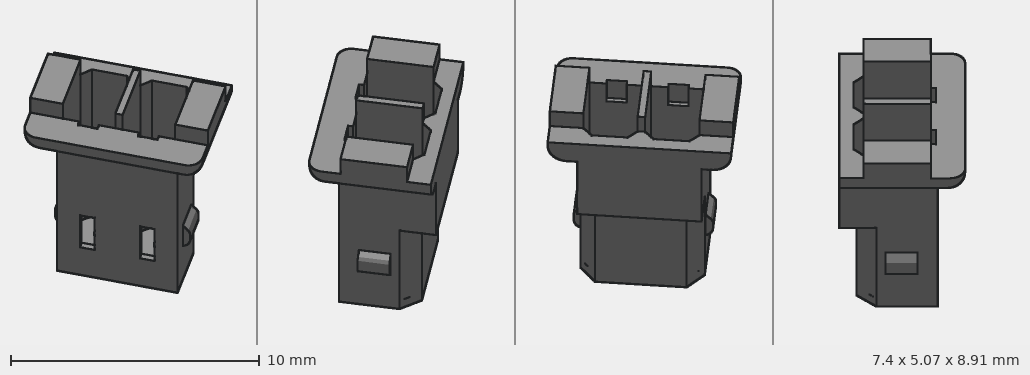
import cadquery as cq

TOTAL_HEIGHT = 8.91
FLANGE_WIDTH = 7.4
FLANGE_DEPTH = 5.07
FLANGE_TOP = 8.11
FLANGE_BOTTOM = 7.14
FLANGE_CORNER_RADIUS = 0.6
FLANGE_EDGE_RADIUS = 0.775

BODY_WIDTH = 5.025
BODY_FRONT = -3.965
STEP_HEIGHT = 4.29
LOWER_BACK = -0.695
LOWER_CHAMFER_X = 0.67
LOWER_CHAMFER_Y = 0.8

DIVIDER_THICKNESS = 0.3
CAVITY_WIDTH = 2.19
CAVITY_FRONT = -3.69
CAVITY_BACK = -0.775
CAVITY_ARC_START = -1.38
CAVITY_FLOOR = 0.4
CAVITY_X = (DIVIDER_THICKNESS + CAVITY_WIDTH) / 2
CAVITY_CENTERS = (-CAVITY_X, CAVITY_X)

MOUTH_BACK = -0.57
MOUTH_CHAMFER_X = 0.37
MOUTH_FLOOR = 4.9
BLOCK_BACK = -0.97

NOTCH_WIDTH = 0.82
NOTCH_DEPTH = 0.205
PIN_HOLE_DIAMETER = 0.61
PIN_HOLE_Y = -1.76
SLOT_WIDTH = 0.615
SLOT_BOTTOM = 1.515
SLOT_TOP = 3.25

LATCH_FRONT = -3.15
LATCH_BACK = -1.85
LATCH_REACH = 0.3
LATCH_BOTTOM = 1.85
LATCH_FLAT_BOTTOM = 2.25
LATCH_FLAT_TOP = 2.52
LATCH_LOWER_RADIUS = 0.42
LATCH_SLOPE_START = 2.75
LATCH_SLOPE_REACH = 0.205
LATCH_TOP = LATCH_SLOPE_START + LATCH_SLOPE_REACH


def block(x_min, x_max, y_min, y_max, z_min, z_max):
    """Box given by its limits along each axis."""
    return cq.Workplane("XY").box(
        x_max - x_min, y_max - y_min, z_max - z_min, centered=False
    ).translate((x_min, y_min, z_min))


def flange():
    """Plate with rounded front corners and a rounded lower rim, flat at the back."""
    half = FLANGE_WIDTH / 2
    plate = block(-half, half, -FLANGE_DEPTH, 0, FLANGE_BOTTOM, FLANGE_TOP)
    plate = plate.edges("|Z and <Y").fillet(FLANGE_CORNER_RADIUS)
    return plate.faces("<Z").edges("not >Y").fillet(FLANGE_EDGE_RADIUS)


def body():
    """Housing with a full upper part and a lower part with chamfered back corners."""
    half = BODY_WIDTH / 2
    upper = block(-half, half, BODY_FRONT, 0, STEP_HEIGHT, FLANGE_TOP)
    chamfer_start = LOWER_BACK - LOWER_CHAMFER_Y
    chamfer_end = half - LOWER_CHAMFER_X
    lower = (
        cq.Workplane("XY")
        .moveTo(-half, BODY_FRONT)
        .lineTo(half, BODY_FRONT)
        .lineTo(half, chamfer_start)
        .lineTo(chamfer_end, LOWER_BACK)
        .lineTo(-chamfer_end, LOWER_BACK)
        .lineTo(-half, chamfer_start)
        .close()
        .extrude(STEP_HEIGHT)
    )
    return upper.union(lower)


def top_block():
    """Raised bar that the cavities split into two end blocks and a divider."""
    half = FLANGE_WIDTH / 2
    return block(-half, half, CAVITY_FRONT, BLOCK_BACK, FLANGE_TOP, TOTAL_HEIGHT)


def latch():
    """Bump on the right side wall: 45 degree slope, flat nose and round underside."""
    wall = BODY_WIDTH / 2
    nose = wall + LATCH_REACH
    profile = (
        cq.Workplane("XZ", origin=(0, LATCH_BACK, 0))
        .moveTo(nose, LATCH_FLAT_BOTTOM)
        .lineTo(nose, LATCH_FLAT_TOP)
        .tangentArcPoint((wall + LATCH_SLOPE_REACH, LATCH_SLOPE_START), relative=False)
        .lineTo(wall, LATCH_TOP)
        .lineTo(0, LATCH_TOP)
        .lineTo(0, LATCH_BOTTOM)
        .lineTo(wall, LATCH_BOTTOM)
        .radiusArc((nose, LATCH_FLAT_BOTTOM), -LATCH_LOWER_RADIUS)
        .close()
    )
    return profile.extrude(LATCH_BACK - LATCH_FRONT)


def contact_cavity(center_x):
    """Round-backed cavity with a deeper mouth, front notch, slot and pin hole."""
    left = center_x - CAVITY_WIDTH / 2
    right = center_x + CAVITY_WIDTH / 2
    cavity = (
        cq.Workplane("XY", origin=(0, 0, CAVITY_FLOOR))
        .moveTo(left, CAVITY_FRONT)
        .lineTo(right, CAVITY_FRONT)
        .lineTo(right, CAVITY_ARC_START)
        .threePointArc((center_x, CAVITY_BACK), (left, CAVITY_ARC_START))
        .close()
        .extrude(TOTAL_HEIGHT - CAVITY_FLOOR)
    )
    mouth = (
        cq.Workplane("XY", origin=(0, 0, MOUTH_FLOOR))
        .moveTo(left, CAVITY_FRONT)
        .lineTo(right, CAVITY_FRONT)
        .lineTo(right, BLOCK_BACK)
        .lineTo(right - MOUTH_CHAMFER_X, MOUTH_BACK)
        .lineTo(left + MOUTH_CHAMFER_X, MOUTH_BACK)
        .lineTo(left, BLOCK_BACK)
        .close()
        .extrude(TOTAL_HEIGHT - MOUTH_FLOOR)
    )
    notch = block(
        center_x - NOTCH_WIDTH / 2, center_x + NOTCH_WIDTH / 2,
        CAVITY_FRONT - NOTCH_DEPTH, CAVITY_FRONT,
        FLANGE_BOTTOM, FLANGE_TOP,
    )
    slot = block(
        center_x - SLOT_WIDTH / 2, center_x + SLOT_WIDTH / 2,
        BODY_FRONT, CAVITY_FRONT,
        SLOT_BOTTOM, SLOT_TOP,
    )
    pin_hole = (
        cq.Workplane("XY")
        .center(center_x, PIN_HOLE_Y)
        .circle(PIN_HOLE_DIAMETER / 2)
        .extrude(TOTAL_HEIGHT)
    )
    return cavity.union(mouth).union(notch).union(slot).union(pin_hole)


right_latch = latch()
result = body().union(flange()).union(top_block())
result = result.union(right_latch).union(right_latch.mirror("YZ"))
for cavity_center in CAVITY_CENTERS:
    result = result.cut(contact_cavity(cavity_center))